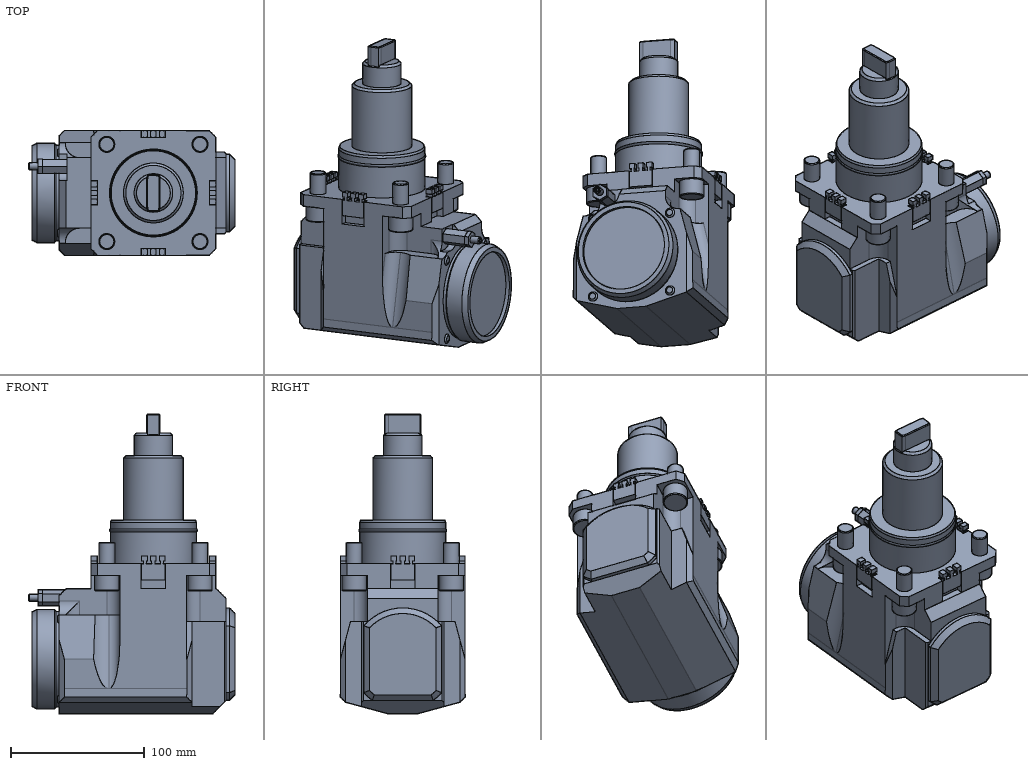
import cadquery as cq
import math


flange_side = 94.0
flange_thickness = 9.0
flange_corner_chamfer = 5.0
collar_radius = 32.4
collar_top = 32.4
seal_ring_z = 24.7
seal_ring_radius = 1.2
seal_ring_protrusion = 0.6
shank_radius = 22.5
shank_top = 80.8
journal_radius = 14.5
journal_top = 97.9
tang_top = 112.0
tang_thickness = 10.0
tang_width = 27.4
tang_corner_chamfer = 3.0
shank_chamfer = 1.8
collar_chamfer_radial = 0.7
small_chamfer = 0.7

housing_left = -70.7
housing_right = 54.6
overall_height = 225.0
housing_bottom = tang_top - overall_height
shoulder_z = -19.0
half_flange = flange_side / 2
half_depth = 47.0
upper_half_depth = 46.8
side_taper_top = -94.2
side_bottom = -100.4
edge_chamfer = 4.0
keel_half_width = 11.4
top_left_chamfer = 5.2
right_chamfer_top = 7.4
right_chamfer_bottom = 10.0
step_x = 25.0
pad_half_depth = 30.8
pad_edge_chamfer = 1.3

bolt_x = 35.0
bolt_y = 36.5
bolt_radius = 6.0
bolt_tip_z = 15.8
bolt_head_radius = 9.2
bolt_head_height = 11.8
pocket_radius = 10.0
left_pocket_floor = -39.0
right_pocket_floor = -43.7
pocket_wall_x = bolt_x - pocket_radius
pocket_wall_y = bolt_y - pocket_radius
corner_fillet = 10.6
corner_fillet_x = -55.5

slope_top_y = 38.0
slope_end_z = -72.0
flute_inner_radius = 8.5
flute_outer_radius = 15.5
flute_bottom_x = -33.5
flute_runout_z = -95.0
flute_top_floor_y = 34.0

spindle_z = -72.0
nut_left = -91.3
nut_neck_x = -73.2
nut_radius = 37.5
nut_neck_radius = 36.0
nut_recess_radius = 32.0
nut_recess_depth = 3.0
nut_front_chamfer_axial = 4.0
nut_front_chamfer_radial = 2.0
nut_back_chamfer = 1.2
cover_right = 61.4
cover_radius = 38.5
cover_half_depth = 29.2
cover_bottom = -103.0
cover_chamfer = 4.2
screw_offset = 30.2
screw_base_radius = 3.6
screw_tip_radius = 2.4
screw_height = 1.2

nozzle_y = 20.0
nozzle_z = -25.9
nozzle_hex = 12.1
nozzle_head_hex = 12.3
nozzle_head_left = -86.6
nozzle_head_length = 3.3
nozzle_tip_left = -93.9
nozzle_tip_radius = 2.7
nozzle_bore_radius = 1.2
nozzle_bore_depth = 2.0
nozzle_seat_x = -64.8
nozzle_seat_wall_y = 9.2
nozzle_seat_floor = -35.6
nozzle_seat_fillet = 15.0

key_slot_width = 18.4
key_width = 17.6
key_depth = 5.0
key_bottom = -12.5
key_top = 5.5
key_root = -0.5
key_neck_top = 1.8
key_slit_x = 3.3
key_slit_width = 2.6
key_slit_root_width = 3.9
key_side_notch = 1.3


def box(x0, x1, y0, y1, z0, z1):
    size = (x1 - x0, y1 - y0, z1 - z0)
    return cq.Workplane("XY").box(*size, centered=False).translate((x0, y0, z0))


def rod_z(radius, z0, z1, x=0.0, y=0.0):
    return cq.Workplane("XY", origin=(x, y, z0)).circle(radius).extrude(z1 - z0)


def rod_x(radius, x0, x1, y, z):
    return cq.Workplane("YZ", origin=(x0, y, z)).circle(radius).extrude(x1 - x0)


def both_sides(shape):
    return shape.union(shape.mirror("XZ"))


def make_shank():
    collar = rod_z(collar_radius, -flange_thickness, collar_top)
    collar = collar.faces(">Z").chamfer(shank_chamfer, collar_chamfer_radial)
    ring_center = collar_radius + seal_ring_protrusion - seal_ring_radius
    seal = (
        cq.Workplane("XZ")
        .center(ring_center, seal_ring_z)
        .circle(seal_ring_radius)
        .revolve(360, (-ring_center, 0), (-ring_center, 1))
    )
    shank = rod_z(shank_radius, 0, shank_top).faces(">Z").chamfer(shank_chamfer)
    journal = rod_z(journal_radius, 0, journal_top).faces(">Z").chamfer(shank_chamfer)
    tang = (
        cq.Workplane("XY")
        .rect(tang_thickness, tang_width)
        .extrude(tang_top)
        .edges("|Z")
        .chamfer(small_chamfer, tang_corner_chamfer)
        .faces(">Z")
        .chamfer(small_chamfer)
    )
    return collar.union(seal).union(shank).union(journal).union(tang)


def make_flange():
    plate = cq.Workplane("XY").rect(flange_side, 2 * upper_half_depth).extrude(-flange_thickness)
    return plate.edges("|Z").chamfer(flange_corner_chamfer)


def make_housing():
    keel_edge_y = half_depth - edge_chamfer
    keel_edge_z = side_bottom - edge_chamfer
    section = [
        (keel_half_width, housing_bottom),
        (keel_edge_y, keel_edge_z),
        (half_depth, side_bottom),
        (upper_half_depth, side_taper_top),
        (upper_half_depth, -flange_thickness),
    ]
    cross_section = cq.Workplane("YZ", origin=(housing_left, 0, 0))
    cross_section = cross_section.polyline(section + [(-y, z) for y, z in reversed(section)]).close()
    prism = cross_section.extrude(housing_right - housing_left)

    pad_x = step_x + edge_chamfer
    plan = [
        (housing_left, keel_edge_y),
        (housing_left + edge_chamfer, half_depth),
        (step_x, half_depth),
        (pad_x, keel_edge_y),
        (pad_x, pad_half_depth),
        (housing_right - pad_edge_chamfer, pad_half_depth),
        (housing_right, pad_half_depth - pad_edge_chamfer),
    ]
    footprint = cq.Workplane("XY", origin=(0, 0, housing_bottom))
    footprint = footprint.polyline(plan + [(x, -y) for x, y in reversed(plan)]).close()
    lower = prism.intersect(footprint.extrude(shoulder_z - housing_bottom))

    elevation = (
        cq.Workplane("XZ", origin=(0, half_depth, 0))
        .moveTo(housing_left, housing_bottom)
        .lineTo(housing_left, shoulder_z - top_left_chamfer)
        .lineTo(housing_left + top_left_chamfer, shoulder_z)
        .lineTo(housing_right - right_chamfer_top, shoulder_z)
        .lineTo(housing_right, shoulder_z - right_chamfer_top)
        .lineTo(housing_right, housing_bottom + right_chamfer_bottom)
        .lineTo(housing_right - right_chamfer_bottom, housing_bottom)
        .close()
        .extrude(2 * half_depth)
    )
    neck = box(-half_flange, half_flange, -upper_half_depth, upper_half_depth, shoulder_z, -flange_thickness)
    return lower.intersect(elevation).union(neck)


def corner_pocket(x_inner, x_outer, floor):
    x0, x1 = sorted((x_inner, x_outer))
    pocket = box(x0, x1, -half_depth, -pocket_wall_y, floor, -flange_thickness)
    inner_edge = "<X" if x_inner < x_outer else ">X"
    return pocket.faces(">Y").edges("|Z").edges(inner_edge).fillet(pocket_radius)


def make_left_pocket():
    """Bolt pocket whose outer end closes with a vertical and a lengthwise fillet."""
    pocket = corner_pocket(-pocket_wall_x, corner_fillet_x, left_pocket_floor)
    arc_y = -pocket_wall_y - corner_fillet
    arc_z = left_pocket_floor + corner_fillet
    pocket = pocket.union(rod_z(corner_fillet, left_pocket_floor, -flange_thickness, corner_fillet_x, arc_y))
    tunnel = box(housing_left, corner_fillet_x, -half_depth, -pocket_wall_y, arc_z, -flange_thickness)
    outer_floor = box(housing_left, corner_fillet_x, -half_depth, arc_y, left_pocket_floor, arc_z)
    round_floor = rod_x(corner_fillet, housing_left, corner_fillet_x, arc_y, arc_z)
    return pocket.union(tunnel).union(outer_floor).union(round_floor)


def make_side_slope(x0, x1):
    wedge = [
        (-slope_top_y, left_pocket_floor),
        (-half_depth, left_pocket_floor),
        (-half_depth, slope_end_z),
        (-upper_half_depth, slope_end_z),
    ]
    return cq.Workplane("YZ", origin=(x0, 0, 0)).polyline(wedge).close().extrude(x1 - x0)


def make_flute():
    """Slot of two tangent arcs, tilted so that its bottom runs out through the side face."""
    rise = left_pocket_floor - flute_runout_z
    run = half_depth - flute_top_floor_y
    tilt = math.degrees(math.atan2(run, rise))
    length = 2 * math.hypot(rise, run)
    diagonal = math.sqrt(0.5)
    inner, outer = flute_inner_radius, flute_outer_radius
    slot = (
        cq.Workplane("XY")
        .moveTo(-outer, -outer)
        .threePointArc((-outer * diagonal, -outer * (1 - diagonal)), (0, 0))
        .threePointArc((inner * diagonal, -inner * (1 - diagonal)), (inner, -inner))
        .lineTo(inner, -outer)
        .close()
        .extrude(length, both=True)
        .rotate((0, 0, 0), (1, 0, 0), -tilt)
        .translate((flute_bottom_x, -half_depth, flute_runout_z))
    )
    keep = box(-half_flange, -pocket_wall_x, -2 * half_depth, 0, housing_bottom, left_pocket_floor)
    return slot.intersect(keep)


def make_nozzle_seat():
    seat = box(housing_left, nozzle_seat_x, nozzle_seat_wall_y, half_depth, nozzle_seat_floor, shoulder_z)
    return seat.edges("|X").edges("<Y and <Z").fillet(nozzle_seat_fillet)


def make_bolt(x, y):
    shaft = rod_z(bolt_radius, -flange_thickness, bolt_tip_z, x, y).faces(">Z").chamfer(small_chamfer)
    head_bottom = -flange_thickness - bolt_head_height
    head = rod_z(bolt_head_radius, head_bottom, -flange_thickness, x, y).faces("<Z").chamfer(small_chamfer)
    return shaft.union(head)


def make_nut():
    body = rod_x(nut_radius, nut_left, nut_neck_x, 0, spindle_z)
    body = body.faces("<X").chamfer(nut_front_chamfer_axial, nut_front_chamfer_radial)
    body = body.faces(">X").chamfer(nut_back_chamfer)
    body = body.union(rod_x(nut_neck_radius, nut_neck_x, housing_left, 0, spindle_z))
    return body.cut(rod_x(nut_recess_radius, nut_left, nut_left + nut_recess_depth, 0, spindle_z))


def make_cover():
    disc = rod_x(cover_radius, housing_right, cover_right, 0, spindle_z)
    cover_top = spindle_z + cover_radius
    clip = box(housing_right, cover_right, -cover_half_depth, cover_half_depth, cover_bottom, cover_top)
    return disc.intersect(clip).faces(">X").chamfer(cover_chamfer)


def make_screw_head(y, z):
    return (
        cq.Workplane("YZ", origin=(housing_left, y, z))
        .circle(screw_base_radius)
        .workplane(offset=-screw_height)
        .circle(screw_tip_radius)
        .loft()
    )


def nozzle_hex_bar(across_corners, x0, x1):
    bar = cq.Workplane("YZ", origin=(x0, nozzle_y, nozzle_z)).transformed(rotate=(0, 0, 90))
    return bar.polygon(6, across_corners).extrude(x1 - x0)


def make_nozzle():
    head_right = nozzle_head_left + nozzle_head_length
    hex_body = nozzle_hex_bar(nozzle_hex, head_right, nozzle_seat_x)
    head = nozzle_hex_bar(nozzle_head_hex, nozzle_head_left, head_right)
    tip = rod_x(nozzle_tip_radius, nozzle_tip_left, nozzle_head_left, nozzle_y, nozzle_z)
    tip = tip.faces("<X").chamfer(small_chamfer)
    bore_end = nozzle_tip_left + nozzle_bore_depth
    bore = rod_x(nozzle_bore_radius, nozzle_tip_left, bore_end, nozzle_y, nozzle_z)
    return hex_body.union(head).union(tip).cut(bore)


def make_key_slot(face_distance):
    half = key_slot_width / 2
    return box(-half, half, -half_depth, -face_distance + key_depth, shoulder_z, key_top)


def make_key(face_distance):
    half = key_width / 2
    front = -face_distance
    back = front + key_depth
    key = box(-half, half, front, back, key_bottom, key_top)
    for side in (-1, 1):
        slit_x = side * key_slit_x
        half_slit = key_slit_width / 2
        half_root = key_slit_root_width / 2
        key = key.cut(box(slit_x - half_slit, slit_x + half_slit, front, back, key_root, key_top))
        key = key.cut(box(slit_x - half_root, slit_x + half_root, front, back, key_root, key_neck_top))
        notch_x = side * (half - key_side_notch / 2)
        notch_half = key_side_notch / 2
        key = key.cut(box(notch_x - notch_half, notch_x + notch_half, front, back, key_root, key_neck_top))
    return key


result = make_housing()
result = result.cut(both_sides(make_left_pocket()))
result = result.cut(both_sides(corner_pocket(pocket_wall_x, housing_right, right_pocket_floor)))
result = result.cut(both_sides(make_side_slope(housing_left, flute_bottom_x)))
result = result.cut(both_sides(make_side_slope(step_x, step_x + edge_chamfer)))
result = result.cut(both_sides(make_flute()))
result = result.cut(make_nozzle_seat())

result = result.union(make_flange())
key_face_distances = (upper_half_depth, half_flange) * 2
for turn, face_distance in enumerate(key_face_distances):
    result = result.cut(make_key_slot(face_distance).rotate((0, 0, 0), (0, 0, 1), 90 * turn))
for turn, face_distance in enumerate(key_face_distances):
    result = result.union(make_key(face_distance).rotate((0, 0, 0), (0, 0, 1), 90 * turn))
result = result.union(make_shank())

for bolt_side_x in (-bolt_x, bolt_x):
    for bolt_side_y in (-bolt_y, bolt_y):
        result = result.union(make_bolt(bolt_side_x, bolt_side_y))
result = result.union(make_nut()).union(make_cover()).union(make_nozzle())
for screw_y in (-screw_offset, screw_offset):
    for screw_z in (spindle_z - screw_offset, spindle_z + screw_offset):
        result = result.union(make_screw_head(screw_y, screw_z))